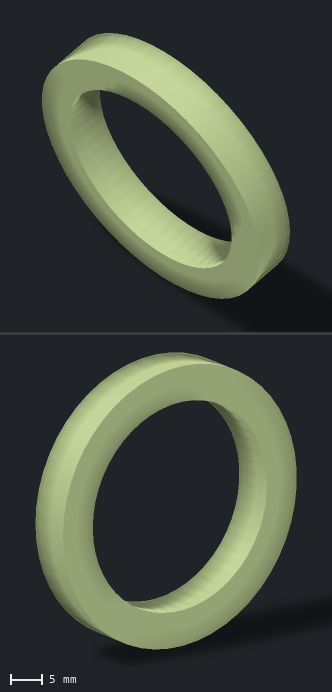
import cadquery as cq

outer_diameter = 47.0
bore_diameter = 35.0
thickness = 7.2

result = (
    cq.Workplane("XZ", origin=(0, thickness / 2, 0))
    .circle(outer_diameter / 2)
    .circle(bore_diameter / 2)
    .extrude(thickness)
)